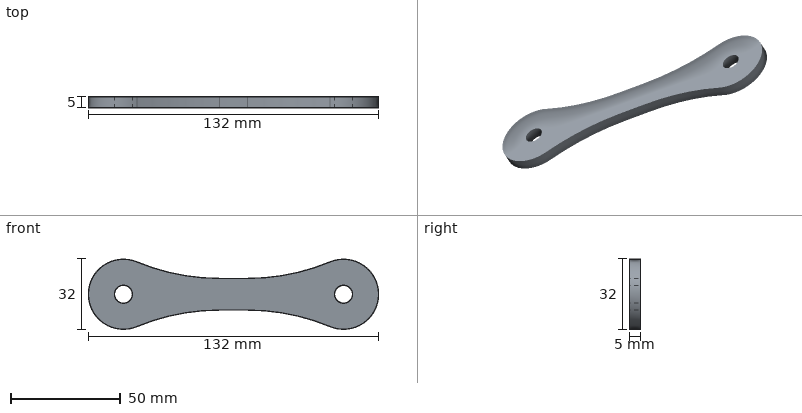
import cadquery as cq
import math

length = 132.0
end_radius = 16.0
thickness = 5.0
hole_diameter = 8.0
waist_height = 14.5
waist_flat_length = 13.0

hole_x = length / 2 - end_radius
waist_z = waist_height / 2
flat_x = waist_flat_length / 2

flank_run = hole_x - flat_x
flank_radius = (flank_run**2 + waist_z**2 - end_radius**2) / (2 * (end_radius - waist_z))
flank_center_z = waist_z + flank_radius

join_fraction = end_radius / (end_radius + flank_radius)
join_x = hole_x - join_fraction * flank_run
join_z = join_fraction * flank_center_z

half_sweep = math.atan2(flank_run, flank_center_z) / 2
flank_mid_x = flat_x + flank_radius * math.sin(half_sweep)
flank_mid_z = flank_center_z - flank_radius * math.cos(half_sweep)


def make_link():
    """Link plate with round ends and a narrow waist, centered on the origin."""
    return (
        cq.Workplane("XZ")
        .moveTo(-flat_x, waist_z)
        .lineTo(flat_x, waist_z)
        .threePointArc((flank_mid_x, flank_mid_z), (join_x, join_z))
        .threePointArc((length / 2, 0), (join_x, -join_z))
        .threePointArc((flank_mid_x, -flank_mid_z), (flat_x, -waist_z))
        .lineTo(-flat_x, -waist_z)
        .threePointArc((-flank_mid_x, -flank_mid_z), (-join_x, -join_z))
        .threePointArc((-length / 2, 0), (-join_x, join_z))
        .threePointArc((-flank_mid_x, flank_mid_z), (-flat_x, waist_z))
        .close()
        .extrude(thickness / 2, both=True)
    )


def make_holes():
    """Through holes concentric with the round ends."""
    return (
        cq.Workplane("XZ")
        .pushPoints([(-hole_x, 0), (hole_x, 0)])
        .circle(hole_diameter / 2)
        .extrude(thickness, both=True)
    )


result = make_link().cut(make_holes())